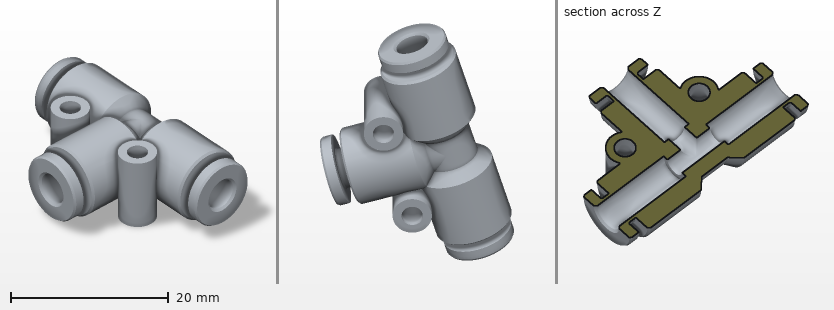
import cadquery as cq


arm_length = 15.4
body_diameter = 10.0
body_end = 12.7
body_chamfer = 0.28
core_diameter = 7.05
shoulder_start = 2.2
shoulder_end = shoulder_start + (body_diameter - core_diameter) / 2

collar_diameter = 9.0
collar_thickness = 1.5
collar_chamfer_length = 0.28
collar_chamfer_depth = 0.2
neck_diameter = 5.1
neck_flare = 0.15

flow_diameter = 2.7
tube_diameter = 4.15
tube_seat = shoulder_end
tube_lead_in = 0.3

post_diameter = 5.0
post_hole_diameter = 2.7
post_offset = 6.38
post_height = body_diameter

arm_angles = (0, 180, -90)


def revolve_arm(profile):
    """Revolve (distance along X, radius) points about the X axis."""
    return cq.Workplane("XY").polyline(profile).close().revolve(360, (0, 0, 0), (1, 0, 0))


def make_arm_solid():
    core_radius = core_diameter / 2
    body_radius = body_diameter / 2
    neck_radius = neck_diameter / 2
    collar_radius = collar_diameter / 2
    collar_back = arm_length - collar_thickness
    return revolve_arm([
        (0, 0),
        (0, core_radius),
        (shoulder_start, core_radius),
        (shoulder_end, body_radius),
        (body_end - body_chamfer, body_radius),
        (body_end, body_radius - body_chamfer),
        (body_end, neck_radius),
        (collar_back - neck_flare, neck_radius),
        (collar_back, neck_radius + neck_flare),
        (collar_back, collar_radius),
        (arm_length - collar_chamfer_length, collar_radius),
        (arm_length, collar_radius - collar_chamfer_depth),
        (arm_length, 0),
    ])


def make_arm_passage():
    flow_radius = flow_diameter / 2
    tube_radius = tube_diameter / 2
    return revolve_arm([
        (0, 0),
        (0, flow_radius),
        (tube_seat, flow_radius),
        (tube_seat, tube_radius),
        (arm_length - tube_lead_in, tube_radius),
        (arm_length, tube_radius + tube_lead_in),
        (arm_length, 0),
    ])


def place_on_arms(shape):
    """Fuse one copy of the shape for each arm direction."""
    placed = cq.Workplane("XY")
    for angle in arm_angles:
        placed = placed.add(shape.rotate((0, 0, 0), (0, 0, 1), angle))
    return placed.combine()


def upright_cylinders(diameter):
    """Full-height cylinders at both post positions."""
    return (
        cq.Workplane("XY", origin=(0, 0, -post_height / 2))
        .pushPoints([(-post_offset, -post_offset), (post_offset, -post_offset)])
        .circle(diameter / 2)
        .extrude(post_height)
    )


tee = place_on_arms(make_arm_solid()).union(upright_cylinders(post_diameter))
tee = tee.cut(place_on_arms(make_arm_passage()))
result = tee.cut(upright_cylinders(post_hole_diameter))